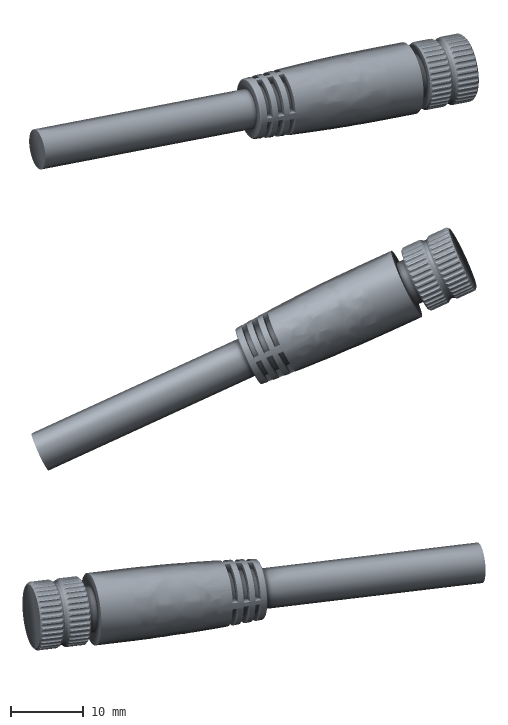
import cadquery as cq
import math


TOTAL_LENGTH = 64.02

NUT_LENGTH = 7.2
NUT_RADIUS = 4.75
NUT_GROOVE_RADIUS = 4.4
NUT_GROOVE_STATION = 3.66
NUT_GROOVE_FLOOR_WIDTH = 0.4
NUT_GROOVE_MOUTH_WIDTH = 1.4
NUT_CHAMFER_DEPTH = 0.3
FLUTE_COUNT = 36
FLUTE_WIDTH = 0.62
FLUTE_DEPTH = 0.22

NECK_RADIUS = 3.2

BODY_START = 8.5
BODY_TAPER_START = 13.45
BODY_END = 32.5
BODY_RADIUS = 5.0
BODY_END_RADIUS = 4.2
BODY_END_FILLET = 0.2

RELIEF_WINDOWS = [
    (27.4, 28.2, 0.9),
    (29.0, 29.9, 0.6),
    (30.7, 31.5, 0.6),
]
RELIEF_FLOOR_RADIUS = 3.3

CABLE_RADIUS = 2.8


def cylinder(radius, start, end):
    """Cylinder on the Y axis between two stations."""
    return cq.Workplane("XZ").workplane(offset=start).circle(radius).extrude(end - start)


def point_at(radius, angle):
    """Point of the nut cross-section given in polar form."""
    return (radius * math.cos(angle), radius * math.sin(angle))


def knurled_prism():
    """Straight knurl along the full nut length: concave flutes between narrow lands."""
    pitch = 2 * math.pi / FLUTE_COUNT
    half_land = pitch / 2 - math.asin(FLUTE_WIDTH / 2 / NUT_RADIUS)
    floor_radius = NUT_RADIUS - FLUTE_DEPTH
    outline = cq.Workplane("XZ").moveTo(*point_at(NUT_RADIUS, -half_land))
    for land in range(FLUTE_COUNT):
        center = land * pitch
        outline = outline.threePointArc(
            point_at(NUT_RADIUS, center),
            point_at(NUT_RADIUS, center + half_land),
        ).threePointArc(
            point_at(floor_radius, center + pitch / 2),
            point_at(NUT_RADIUS, center + pitch - half_land),
        )
    return outline.close().extrude(NUT_LENGTH)


def nut_envelope():
    """Turned shape of the nut: chamfered ends and a sloped-side groove around the middle."""
    chamfered_radius = NUT_RADIUS - NUT_CHAMFER_DEPTH
    floor_start = NUT_GROOVE_STATION - NUT_GROOVE_FLOOR_WIDTH / 2
    floor_end = NUT_GROOVE_STATION + NUT_GROOVE_FLOOR_WIDTH / 2
    mouth_start = NUT_GROOVE_STATION - NUT_GROOVE_MOUTH_WIDTH / 2
    mouth_end = NUT_GROOVE_STATION + NUT_GROOVE_MOUTH_WIDTH / 2
    return (
        cq.Workplane("XY")
        .moveTo(0, 0)
        .lineTo(chamfered_radius, 0)
        .lineTo(NUT_RADIUS, -NUT_CHAMFER_DEPTH)
        .lineTo(NUT_RADIUS, -mouth_start)
        .lineTo(NUT_GROOVE_RADIUS, -floor_start)
        .lineTo(NUT_GROOVE_RADIUS, -floor_end)
        .lineTo(NUT_RADIUS, -mouth_end)
        .lineTo(NUT_RADIUS, -(NUT_LENGTH - NUT_CHAMFER_DEPTH))
        .lineTo(chamfered_radius, -NUT_LENGTH)
        .lineTo(0, -NUT_LENGTH)
        .close()
        .revolve(360, (0, 0, 0), (0, 1, 0))
    )


def body_blank():
    """Cylindrical front followed by a tangent arc that narrows toward the cable."""
    return (
        cq.Workplane("XY")
        .moveTo(0, -BODY_START)
        .lineTo(BODY_RADIUS, -BODY_START)
        .lineTo(BODY_RADIUS, -BODY_TAPER_START)
        .tangentArcPoint((BODY_END_RADIUS, -BODY_END), relative=False)
        .lineTo(0, -BODY_END)
        .close()
        .revolve(360, (0, 0, 0), (0, 1, 0))
        .faces("<Y")
        .edges()
        .fillet(BODY_END_FILLET)
    )


def relief_window_ring(start, end, bridge_width):
    """Ring cut into four windows by bridges on the X and Z axes."""
    ring = cylinder(BODY_RADIUS, start, end).cut(cylinder(RELIEF_FLOOR_RADIUS, start, end))
    width = end - start
    middle = -(start + end) / 2
    bridge_x = cq.Workplane("XY").box(2 * BODY_RADIUS, width, bridge_width)
    bridge_z = cq.Workplane("XY").box(bridge_width, width, 2 * BODY_RADIUS)
    bridges = bridge_x.union(bridge_z).translate((0, middle, 0))
    return ring.cut(bridges)


def molded_body():
    """Body with the strain-relief windows cut into its cable end."""
    body = body_blank()
    for start, end, bridge_width in RELIEF_WINDOWS:
        body = body.cut(relief_window_ring(start, end, bridge_width))
    return body


nut = knurled_prism().intersect(nut_envelope())
neck = cylinder(NECK_RADIUS, NUT_LENGTH, BODY_START)
cable = cylinder(CABLE_RADIUS, BODY_END, TOTAL_LENGTH)
result = nut.union(neck).union(molded_body()).union(cable)